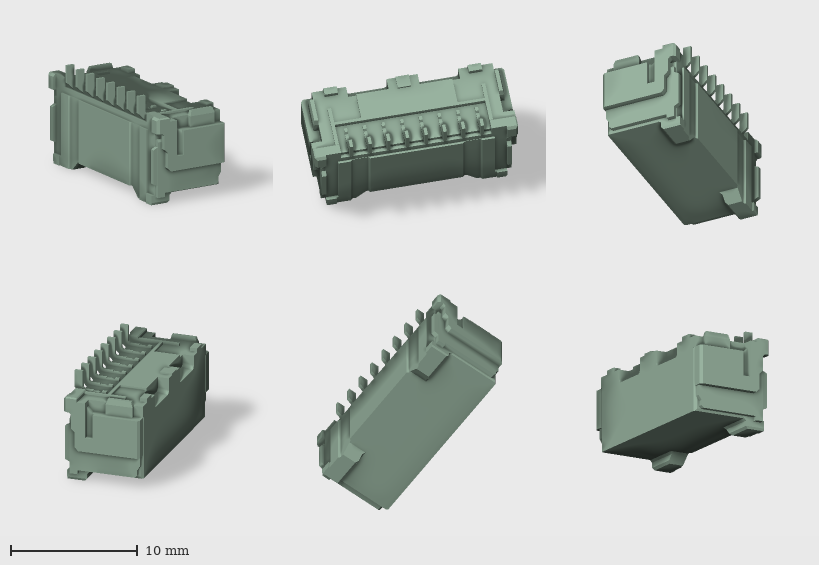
import cadquery as cq
import math


LENGTH = 16.3
DEPTH = 6.4
HEIGHT = 8.5

HALF_LENGTH = LENGTH / 2
BODY_HALF = 7.25
BODY_FRONT = 0.35
BODY_BOTTOM = 0.8
BODY_TOP = 6.93
BODY_EDGE_WIDTH = 0.08
BODY_EDGE_HEIGHT = 0.2
CORNER_CHAMFER = 0.2

DECK_TOP = 7.12
DECK_HALF = 3.86
DECK_FRONT = 3.28
RIB_OUTER = 6.32
RIB_BACK = 4.6
TAB_TOP = 7.27
CENTER_TAB_HALF = 0.54
CENTER_TAB_FRONT = 5.38
SIDE_TAB_INNER = 5.25
SIDE_TAB_FRONT = 5.8

BAY_HALF = 6.03
BAY_BACK = 3.03
BAY_FLOOR = 6.76
WALL_BACK = 0.64
WALL_TOP = 6.47

NOTCH_CENTER = 2.87
NOTCH_WIDTH = 3.25
NOTCH_FRONT = 5.48
NOTCH_DEPTH = 1.14
NOTCH_RADIUS = 0.3
NOTCH_FLOOR_SLOPE = 10.0

PANEL_HALF = 6.28
PANEL_FRONT = 0.16
PANEL_TOP = 5.98
RECESS_FRONT = 0.31
RECESS_INNER = 3.72
RECESS_OUTER = 5.28
FOOT_FRONT = 0.057
FOOT_BACK = 1.71
FOOT_PAD_INNER = 6.42
FOOT_INNER_BOTTOM = 4.84
FOOT_INNER_TOP = 4.01
FOOT_SLOPE_BOTTOM = 0.62

END_PLATE_X = 7.65
PLATE_BACK = 6.29
PLATE_BOTTOM = BODY_BOTTOM + BODY_EDGE_HEIGHT
PLATE_CORNER_BACK = 6.05
PLATE_CORNER_CHAMFER = 0.2
PLATE_TAPER_BOTTOM = 1.6
PLATE_TAPER_TOP = 1.99
SHELF_TOP = 6.0
END_BLOCK_FRONT = 0.7
END_BLOCK_BOTTOM = 2.82
END_BLOCK_STEP = 1.01
END_BLOCK_STEP_BOTTOM = 4.35
END_BLOCK_BOTTOM_CHAMFER = 0.28
END_TOP = 7.27
COLUMN_BACK = 1.86
CAP_BACK = 1.17
CAP_BACK_CHAMFER = 0.08
CAP_SIDE_CHAMFER = 0.1
SLOT_BACK = 2.5
SLOT_BOTTOM = 4.0
SLOT_CHAMFER = 0.2
STEP_LENGTH = 0.44

FIN_X = 7.66
FIN_FRONT = 3.42
FIN_BACK = 5.67
FIN_TOP = 7.34
FIN_TAPER = 0.15
FIN_TAPER_HEIGHT = 0.44
FIN_SIDE_TAPER = 0.1

RAIL_FRONT = 0.39
RAIL_BACK = 1.05
RAIL_BOTTOM = 0.65
RAIL_TOP = 5.4
RAIL_TAPER_WIDTH = 0.08
RAIL_TAPER_HEIGHT = 0.18
SOLDER_BOTTOM = 1.61
SOLDER_TOP = 4.81
SOLDER_TAPER = 0.2
SOLDER_OUTER = 7.61

PIN_COUNT = 8
PIN_PITCH = 1.5
PIN_WIDTH = 0.26
TAIL_BACK = 0.67
TAIL_UNDERSIDE = 7.07
TAIL_RAMP_TOP = 7.15
PIN_BAR_TOP = 6.98
PIN_BAR_FRONT = 0.83
PIN_BAR_BACK = 1.56
PIN_NECK_TOP = 6.91
PIN_NECK_BACK = 1.95
PIN_DIP = 6.81
PIN_DIP_Y = 2.2
PIN_STUB_TOP = 7.01
PIN_STUB_FRONT = 2.3
PIN_STUB_BACK = 2.64


def box(x0, x1, y0, y1, z0, z1):
    """Box between two opposite corners."""
    return cq.Workplane("XY").box(x1 - x0, y1 - y0, z1 - z0, centered=False).translate((x0, y0, z0))


def prism_x(points, x0, x1):
    """Outline of (y, z) points extruded from x0 to x1."""
    return cq.Workplane("YZ").polyline(points).close().extrude(x1 - x0).translate((x0, 0, 0))


def prism_y(points, y0, y1):
    """Outline of (x, z) points extruded from y0 to y1."""
    return cq.Workplane("XZ").polyline(points).close().extrude(y0 - y1).translate((0, y0, 0))


def prism_z(points, z0, z1):
    """Outline of (x, y) points extruded from z0 to z1."""
    return cq.Workplane("XY").polyline(points).close().extrude(z1 - z0).translate((0, 0, z0))


def both_ends(solid):
    """The solid together with its mirror image across the YZ plane."""
    return solid.union(solid.mirror("YZ"))


def make_housing():
    body = box(-BODY_HALF, BODY_HALF, BODY_FRONT, DEPTH, BODY_BOTTOM, BODY_TOP)
    corner = prism_z(
        [(BODY_HALF, DEPTH), (BODY_HALF - CORNER_CHAMFER, DEPTH), (BODY_HALF, DEPTH - CORNER_CHAMFER)],
        BODY_BOTTOM,
        SHELF_TOP,
    )
    edge = prism_y(
        [
            (BODY_HALF, BODY_BOTTOM),
            (BODY_HALF - BODY_EDGE_WIDTH, BODY_BOTTOM),
            (BODY_HALF, BODY_BOTTOM + BODY_EDGE_HEIGHT),
        ],
        BODY_FRONT,
        DEPTH,
    )
    return body.cut(both_ends(corner)).cut(both_ends(edge))


def make_top():
    deck = box(-DECK_HALF, DECK_HALF, BAY_BACK, DEPTH, BODY_TOP, DECK_TOP)
    cross_rib = box(-RIB_OUTER, RIB_OUTER, BAY_BACK, DECK_FRONT, BODY_TOP, DECK_TOP)
    end_rib = box(BAY_HALF, RIB_OUTER, BODY_FRONT, RIB_BACK, BODY_TOP, DECK_TOP)
    center_tab = box(-CENTER_TAB_HALF, CENTER_TAB_HALF, CENTER_TAB_FRONT, DEPTH, BODY_TOP, TAB_TOP)
    side_tab = box(SIDE_TAB_INNER, RIB_OUTER, SIDE_TAB_FRONT, DEPTH, BODY_TOP, TAB_TOP)
    return deck.union(cross_rib).union(center_tab).union(both_ends(end_rib.union(side_tab)))


def make_bay():
    bay = box(-BAY_HALF, BAY_HALF, WALL_BACK, BAY_BACK, BAY_FLOOR, HEIGHT)
    return bay.union(box(-BAY_HALF, BAY_HALF, 0, WALL_BACK, WALL_TOP, HEIGHT))


def make_notch():
    """Round-bottomed opening whose floor drops toward the back."""
    floor = DECK_TOP - NOTCH_DEPTH
    fall = (DEPTH - NOTCH_FRONT) * math.tan(math.radians(NOTCH_FLOOR_SLOPE))
    notch = prism_x(
        [(NOTCH_FRONT, floor), (DEPTH, floor - fall), (DEPTH, HEIGHT), (NOTCH_FRONT, HEIGHT)],
        NOTCH_CENTER - NOTCH_WIDTH / 2,
        NOTCH_CENTER + NOTCH_WIDTH / 2,
    )
    return notch.faces("<Z").edges("<X or >X").fillet(NOTCH_RADIUS)


def make_front_panel():
    return box(-PANEL_HALF, PANEL_HALF, PANEL_FRONT, BODY_FRONT, BODY_BOTTOM, PANEL_TOP)


def make_recess():
    """Shallow full-height channel with sloped sides in the front panel."""
    step = RECESS_FRONT - PANEL_FRONT
    return prism_z(
        [
            (RECESS_INNER, PANEL_FRONT),
            (RECESS_INNER + step, RECESS_FRONT),
            (RECESS_OUTER - step, RECESS_FRONT),
            (RECESS_OUTER, PANEL_FRONT),
        ],
        0,
        PANEL_TOP,
    )


def make_foot():
    """Foot below the end of the body, blending into the lower body edge behind it."""
    root = BODY_BOTTOM + BODY_EDGE_HEIGHT
    side = prism_x(
        [
            (PANEL_FRONT, 0),
            (FOOT_BACK - CORNER_CHAMFER, 0),
            (FOOT_BACK, CORNER_CHAMFER),
            (FOOT_BACK, FOOT_SLOPE_BOTTOM),
            (FOOT_BACK + root - FOOT_SLOPE_BOTTOM, root),
            (BODY_FRONT, root),
            (BODY_FRONT, BODY_BOTTOM),
            (PANEL_FRONT, BODY_BOTTOM),
        ],
        FOOT_INNER_TOP,
        BODY_HALF,
    )
    pad = box(FOOT_PAD_INNER, BODY_HALF, FOOT_FRONT, BODY_FRONT, 0, BODY_BOTTOM)
    outline = prism_y(
        [
            (FOOT_INNER_TOP, root),
            (FOOT_INNER_TOP, BODY_BOTTOM),
            (FOOT_INNER_BOTTOM, 0),
            (BODY_HALF - BODY_EDGE_WIDTH, 0),
            (BODY_HALF, BODY_EDGE_HEIGHT),
            (BODY_HALF, root),
        ],
        0,
        DEPTH,
    )
    return side.union(pad).intersect(outline)


def make_end_plate():
    """Inner end plate with its lower rear corner tapered and cut off."""
    return prism_x(
        [
            (RAIL_BACK, PLATE_BOTTOM),
            (PLATE_CORNER_BACK - PLATE_CORNER_CHAMFER, PLATE_BOTTOM),
            (PLATE_CORNER_BACK, PLATE_BOTTOM + PLATE_CORNER_CHAMFER),
            (PLATE_CORNER_BACK, PLATE_TAPER_BOTTOM),
            (PLATE_BACK, PLATE_TAPER_TOP),
            (PLATE_BACK, SHELF_TOP),
            (RAIL_BACK, SHELF_TOP),
        ],
        BODY_HALF,
        END_PLATE_X,
    )


def make_rail():
    """Strip on the front of the end plate, tapered at its top."""
    return prism_y(
        [
            (BODY_HALF, RAIL_BOTTOM),
            (END_PLATE_X, RAIL_BOTTOM),
            (END_PLATE_X, RAIL_TOP - RAIL_TAPER_HEIGHT),
            (END_PLATE_X - RAIL_TAPER_WIDTH, RAIL_TOP),
            (BODY_HALF + RAIL_TAPER_WIDTH, RAIL_TOP),
            (BODY_HALF, RAIL_TOP - RAIL_TAPER_HEIGHT),
        ],
        RAIL_FRONT,
        RAIL_BACK,
    )


def make_solder_tab():
    return prism_x(
        [
            (RAIL_FRONT, SOLDER_BOTTOM),
            (0, SOLDER_BOTTOM + SOLDER_TAPER),
            (0, SOLDER_TOP - SOLDER_TAPER),
            (RAIL_FRONT, SOLDER_TOP),
        ],
        BODY_HALF,
        SOLDER_OUTER,
    )


def make_end_block():
    """Outer end block with its stepped front edge, plus the column and cap above it."""
    step_run = END_BLOCK_STEP - END_BLOCK_FRONT
    lower = prism_x(
        [
            (END_BLOCK_FRONT - CORNER_CHAMFER, SHELF_TOP),
            (END_BLOCK_FRONT, SHELF_TOP - CORNER_CHAMFER),
            (END_BLOCK_FRONT, END_BLOCK_STEP_BOTTOM + step_run),
            (END_BLOCK_STEP, END_BLOCK_STEP_BOTTOM),
            (END_BLOCK_STEP, END_BLOCK_BOTTOM + END_BLOCK_BOTTOM_CHAMFER),
            (END_BLOCK_STEP + END_BLOCK_BOTTOM_CHAMFER, END_BLOCK_BOTTOM),
            (DEPTH, END_BLOCK_BOTTOM),
            (DEPTH, SHELF_TOP),
        ],
        END_PLATE_X,
        HALF_LENGTH,
    )
    inner = box(BODY_HALF, END_PLATE_X, SLOT_BACK, DEPTH, END_BLOCK_BOTTOM, SHELF_TOP)
    upper = prism_x(
        [
            (FOOT_FRONT, SHELF_TOP),
            (COLUMN_BACK, SHELF_TOP),
            (COLUMN_BACK, BODY_TOP),
            (CAP_BACK, BODY_TOP),
            (CAP_BACK, END_TOP - CAP_BACK_CHAMFER),
            (CAP_BACK - CAP_BACK_CHAMFER, END_TOP),
            (FOOT_FRONT + CORNER_CHAMFER, END_TOP),
            (FOOT_FRONT, END_TOP - CORNER_CHAMFER),
        ],
        BODY_HALF,
        HALF_LENGTH,
    )
    plan = box(0, HALF_LENGTH, FOOT_FRONT, DEPTH, 0, HEIGHT).edges("|Z and >X").chamfer(CORNER_CHAMFER)
    side = box(0, HALF_LENGTH, 0, DEPTH, 0, END_TOP).edges("|Y and >X and >Z").chamfer(CAP_SIDE_CHAMFER)
    slot = prism_z(
        [
            (END_PLATE_X, COLUMN_BACK),
            (END_PLATE_X, SLOT_BACK - SLOT_CHAMFER),
            (END_PLATE_X + SLOT_CHAMFER, SLOT_BACK),
            (HALF_LENGTH, SLOT_BACK),
            (HALF_LENGTH, COLUMN_BACK),
        ],
        SLOT_BOTTOM,
        HEIGHT,
    )
    step = prism_x(
        [
            (COLUMN_BACK, SHELF_TOP),
            (COLUMN_BACK + STEP_LENGTH, SHELF_TOP),
            (COLUMN_BACK, SHELF_TOP + STEP_LENGTH),
        ],
        BODY_HALF,
        END_PLATE_X,
    )
    return lower.union(inner).union(upper).intersect(plan).intersect(side).cut(slot).union(step)


def make_cap_bridge():
    """Inner part of the cap, joining the end block to the bay wall."""
    bridge = box(BAY_HALF, BODY_HALF, BODY_FRONT, CAP_BACK, BODY_TOP, END_TOP)
    return bridge.edges(">Y and >Z").chamfer(CAP_BACK_CHAMFER)


def make_fin():
    profile = prism_x(
        [
            (FIN_FRONT, SHELF_TOP),
            (FIN_BACK, SHELF_TOP),
            (FIN_BACK, FIN_TOP - FIN_TAPER_HEIGHT),
            (FIN_BACK - FIN_TAPER, FIN_TOP),
            (FIN_FRONT + FIN_TAPER, FIN_TOP),
            (FIN_FRONT, FIN_TOP - FIN_TAPER_HEIGHT),
        ],
        BODY_HALF,
        FIN_X,
    )
    side = prism_y(
        [
            (BODY_HALF, SHELF_TOP),
            (FIN_X, SHELF_TOP),
            (FIN_X, FIN_TOP - FIN_TAPER_HEIGHT),
            (FIN_X - FIN_SIDE_TAPER, FIN_TOP),
            (BODY_HALF, FIN_TOP),
        ],
        FIN_FRONT,
        FIN_BACK,
    )
    return profile.intersect(side)


def make_pin(x):
    """Pin lying in the bay, with an upright tail at the front."""
    return prism_x(
        [
            (WALL_BACK, WALL_TOP),
            (0, TAIL_UNDERSIDE),
            (0, HEIGHT),
            (TAIL_BACK, HEIGHT),
            (TAIL_BACK, TAIL_RAMP_TOP),
            (PIN_BAR_FRONT, PIN_BAR_TOP),
            (PIN_BAR_BACK, PIN_BAR_TOP),
            (PIN_BAR_BACK, PIN_NECK_TOP),
            (PIN_NECK_BACK, PIN_NECK_TOP),
            (PIN_DIP_Y, PIN_DIP),
            (PIN_STUB_FRONT, PIN_STUB_TOP),
            (PIN_STUB_BACK, PIN_STUB_TOP),
            (PIN_STUB_BACK, BAY_FLOOR),
            (WALL_BACK, BAY_FLOOR),
        ],
        x - PIN_WIDTH / 2,
        x + PIN_WIDTH / 2,
    )


result = make_housing().union(make_top()).union(make_front_panel())
end_parts = (
    make_foot(),
    make_end_plate(),
    make_rail(),
    make_end_block(),
    make_cap_bridge(),
    make_fin(),
    make_solder_tab(),
)
for part in end_parts:
    result = result.union(both_ends(part))

for cutter in (make_recess(), make_notch()):
    result = result.cut(both_ends(cutter))
result = result.cut(make_bay())

for i in range(PIN_COUNT):
    pin_x = (i - (PIN_COUNT - 1) / 2) * PIN_PITCH
    result = result.union(make_pin(pin_x))